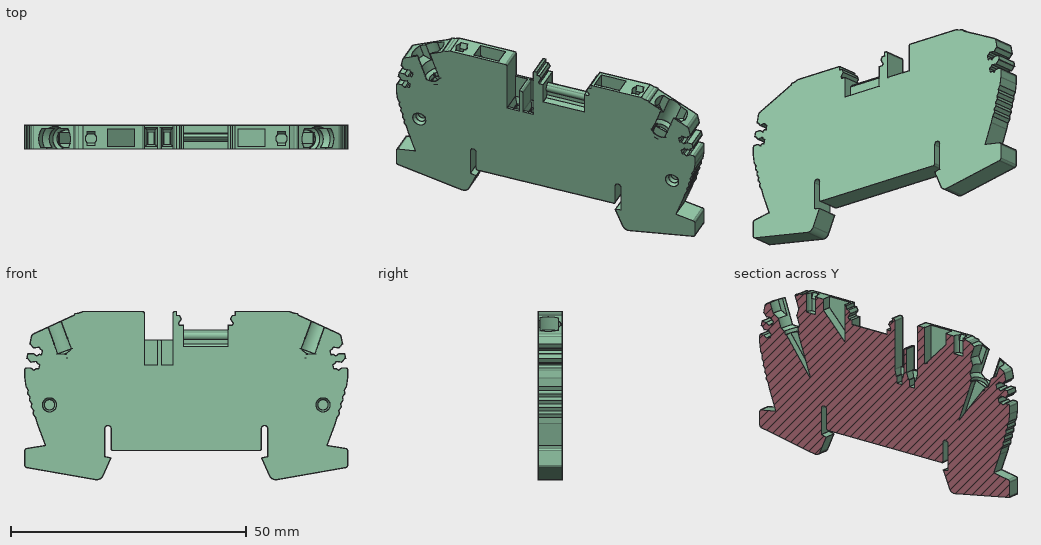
import cadquery as cq
import math


LENGTH = 68.5
THICKNESS = 5.1
HEIGHT = 35.7
HALF_LENGTH = LENGTH / 2
FRONT_Y = -THICKNESS / 2
BACK_Y = THICKNESS / 2

RAIL_SEAT_Z = 6.2
FOOT_TOP_Z = 6.6
FOOT_BOTTOM_Z = 2.65
FOOT_CORNER_RADIUS = 0.5
TOE = (-18.1, -0.18)
TOE_RADIUS = 1.5
HOOK_TIP = (-15.95, 4.65)
HOOK_ROOT_Z = 4.95
ANKLE = (-29.87, 7.3)
FLEX_SLOT_X = 16.6
FLEX_SLOT_WIDTH = 1.3
FLEX_SLOT_TOP_Z = 11.5
SEAT_CORNER_RADIUS = 0.4

RIB_COUNT = 4
RIB_START = (-34.0, 19.8)
RIB_FIRST_ROOT = (-33.5, 18.95)
RIB_PITCH_X = 0.385
RIB_PITCH_Z = 1.435
RIB_OUT = 0.12
RIB_TIP_DROP = 0.7
RIB_BULGE_OUT = 0.12
RIB_BULGE_DROP = 0.3
SHIN_BEND = (-31.6, 11.9)

NOTCH_COUNT = 2
NOTCH_STEP_X = -0.6
NOTCH_STEP_Z = -3.02
UPPER_NOTCH = [
    (-33.06, 28.75),
    (-32.37, 27.95),
    (-31.2, 28.1),
    (-30.95, 27.7),
    (-30.5, 27.4),
    (-30.74, 26.5),
    (-31.15, 26.65),
    (-31.7, 26.25),
    (-32.37, 26.77),
    (-33.6, 26.77),
]
NOTCH_CLEARANCE_X = -36.0
NOSE_CORNER = (-32.75, 30.8)
NOSE_RADIUS = 0.8
END_SHOULDER_Z = UPPER_NOTCH[-1][1] + (NOTCH_COUNT - 1) * NOTCH_STEP_Z
END_SHOULDER_RADIUS = 0.45
END_LOWER_Z = 21.6

SLOPE_TOP = (-23.75, 34.95)
LIP_CREST = (-23.67, 35.18)
LIP_OUTER = (-23.45, 35.3)
LIP_INNER = (-22.84, 35.35)
TOP_EDGE_X = -21.9

ENTRY_CENTER = (-27.8, 32.7)
ENTRY_TILT = 20.0
ENTRY_RADIUS = 2.65
ENTRY_Y = -0.4
ENTRY_DEPTH = 5.8
SEAT_RADIUS = 1.95
SEAT_TAPER_DEPTH = 0.7
SEAT_DEPTH = 1.5
CHANNEL_HALF_WIDTH = 1.63
CHANNEL_Y_MIN = -1.4
CHANNEL_Y_MAX = 0.95
CHANNEL_DEPTH = 10.0
ENTRY_ABOVE = 2.0
MOUTH_RADIUS = 3.7
MOUTH_DEPTH = 2.3
MOUTH_TAPER_DEPTH = 1.3
MOUTH_Y_MIN = -2.15
MOUTH_Y_MAX = 1.8

SOCKET_X = 29.0
SOCKET_Z = 15.9
SOCKET_DIAMETER = 3.0
SOCKET_BORE_DIAMETER = 2.2
SOCKET_TAPER_DEPTH = 0.8
SOCKET_DEPTH = 2.0

POCKET_X_MIN = 11.0
POCKET_X_MAX = 16.7
POCKET_Y_MIN = -1.95
POCKET_Y_MAX = 1.75
POCKET_OUTER_DEPTH = 2.5
POCKET_INNER_DEPTH = 8.2

DRIVER_X = 20.2
DRIVER_Y = -0.3
DRIVER_DIAMETER = 2.4
DRIVER_DEPTH = 4.0
DRIVER_FLAT_HALF = 0.93
DRIVER_SLIT_HALF = 1.48
DRIVER_SLIT_WIDTH = 1.6
DRIVER_SLIT_DEPTH = 1.2

BRIDGE_X_MIN = -8.85
BRIDGE_X_MAX = -2.85
BRIDGE_WALL_TOP_Z = 29.7
BRIDGE_FLOOR_Z = 24.4
BRIDGE_BACK_Y = 2.05
BRIDGE_WEB_X_MIN = -6.05
BRIDGE_WEB_X_MAX = -5.25
BRIDGE_WEB_RADIUS = 0.35
BRIDGE_CORNER_RADIUS = 0.4
FUNNEL_Y_MIN = -2.0
FUNNEL_DEPTH = 1.5
FUNNEL_BOTTOM_WIDTH = 1.7
FUNNEL_INSET_BACK = 0.5
FUNNEL_INSET_FRONT = 0.4
SHAFT_DEPTH = 1.5
SHAFT_STEP_BACK = 0.45
SHAFT_WIDTH = 1.3

MARKER_X = 4.16
MARKER_HALF = 4.73
MARKER_FLOOR_Z = 28.3
SNAP_TOP_HALF = 6.2
SNAP_PROFILE = [
    (SNAP_TOP_HALF, 34.86),
    (5.6, 34.86),
    (5.2, 34.1),
    (5.8, 33.2),
    (5.6, 32.8),
    (MARKER_HALF, 32.8),
]
BAR_PEAK = (0.0, 31.8)
BAR_SHOULDER = (-0.5, 31.3)
BAR_BULGE = (-0.9, 30.65)
BAR_NECK = (-0.55, 29.75)
BAR_BACK = (0.65, 31.2)
BAR_FOOT_TOP_Z = 28.85
BAR_FOOT_FRONT_Y = -0.9
BAR_FOOT_BACK_Y = 0.9


def box(x_range, y_range, z_range):
    """Axis-aligned block between the given limits."""
    sizes = [high - low for low, high in (x_range, y_range, z_range)]
    corner = (x_range[0], y_range[0], z_range[0])
    return cq.Workplane("XY").box(*sizes, centered=False).translate(corner)


def face_plane():
    """XZ plane lying on the back face; positive extrusion runs toward the front face."""
    return cq.Workplane("XZ", origin=(0, BACK_Y, 0))


def mirrored(shape):
    """The shape together with its mirror image in X."""
    return shape.union(shape.mirror("YZ"))


def round_corner(shape, x, z, radius):
    """Fillet the through-thickness edge standing at (x, z)."""
    reach = 0.05
    corner = cq.selectors.BoxSelector(
        (x - reach, FRONT_Y, z - reach), (x + reach, BACK_Y, z + reach)
    )
    return shape.edges("|Y").edges(corner).fillet(radius)


def left_half():
    """Plate left of X = 0, with ribs, notches and rail foot."""
    slot_left = -FLEX_SLOT_X - FLEX_SLOT_WIDTH / 2
    slot_right = slot_left + FLEX_SLOT_WIDTH
    slot_spring_z = FLEX_SLOT_TOP_Z - FLEX_SLOT_WIDTH / 2
    outline = (
        face_plane()
        .moveTo(0, HEIGHT)
        .lineTo(TOP_EDGE_X, HEIGHT)
        .lineTo(*LIP_INNER)
        .lineTo(*LIP_OUTER)
        .threePointArc(LIP_CREST, SLOPE_TOP)
        .lineTo(*NOSE_CORNER)
        .lineTo(-HALF_LENGTH, END_SHOULDER_Z)
        .lineTo(-HALF_LENGTH, END_LOWER_Z)
        .lineTo(*RIB_START)
        .lineTo(*RIB_FIRST_ROOT)
    )
    for rib in range(RIB_COUNT):
        x = RIB_FIRST_ROOT[0] + rib * RIB_PITCH_X
        z = RIB_FIRST_ROOT[1] - rib * RIB_PITCH_Z
        outline = outline.threePointArc(
            (x - RIB_BULGE_OUT, z - RIB_BULGE_DROP), (x - RIB_OUT, z - RIB_TIP_DROP)
        )
        outline = outline.lineTo(x + RIB_PITCH_X, z - RIB_PITCH_Z)
    outline = (
        outline.lineTo(*SHIN_BEND)
        .lineTo(*ANKLE)
        .lineTo(-HALF_LENGTH, FOOT_TOP_Z)
        .lineTo(-HALF_LENGTH, FOOT_BOTTOM_Z)
        .lineTo(*TOE)
        .lineTo(*HOOK_TIP)
        .lineTo(slot_left, HOOK_ROOT_Z)
        .lineTo(slot_left, slot_spring_z)
        .threePointArc((-FLEX_SLOT_X, FLEX_SLOT_TOP_Z), (slot_right, slot_spring_z))
        .lineTo(slot_right, RAIL_SEAT_Z)
        .lineTo(0, RAIL_SEAT_Z)
        .close()
    )
    half = outline.extrude(THICKNESS)
    half = round_corner(half, *TOE, TOE_RADIUS)
    half = round_corner(half, -HALF_LENGTH, FOOT_TOP_Z, FOOT_CORNER_RADIUS)
    half = round_corner(half, -HALF_LENGTH, FOOT_BOTTOM_Z, FOOT_CORNER_RADIUS)
    half = round_corner(half, slot_right, RAIL_SEAT_Z, SEAT_CORNER_RADIUS)
    half = round_corner(half, *NOSE_CORNER, NOSE_RADIUS)
    half = half.cut(barbed_notches())
    return round_corner(half, -HALF_LENGTH, END_SHOULDER_Z, END_SHOULDER_RADIUS)


def barbed_notches():
    """Barbed notches open toward the left end."""
    first, last = UPPER_NOTCH[0], UPPER_NOTCH[-1]
    mouth = [(NOTCH_CLEARANCE_X, last[1]), (NOTCH_CLEARANCE_X, first[1])]
    notch = face_plane().polyline(UPPER_NOTCH + mouth).close().extrude(THICKNESS)
    notches = notch
    for step in range(1, NOTCH_COUNT):
        notches = notches.union(notch.translate((step * NOTCH_STEP_X, 0, step * NOTCH_STEP_Z)))
    return notches


def wire_entry():
    """Left wire hole with a wider mouth flattened in Y and a narrower seat at its bottom."""
    x, z = ENTRY_CENTER
    tilt = math.radians(ENTRY_TILT)
    outward = (-math.sin(tilt), 0, math.cos(tilt))
    plane = cq.Plane(origin=(x, ENTRY_Y, z), xDir=(0, 1, 0), normal=outward)

    def bore(radius, top, bottom):
        return cq.Workplane(plane).workplane(offset=bottom).circle(radius).extrude(top - bottom)

    def taper(top_radius, bottom_radius, top, depth):
        base = plane.toWorldCoords((0, 0, top - depth))
        direction = cq.Vector(*outward)
        return cq.Workplane(cq.Solid.makeCone(bottom_radius, top_radius, depth, base, direction))

    hole = bore(ENTRY_RADIUS, ENTRY_ABOVE, -ENTRY_DEPTH)
    seat = bore(SEAT_RADIUS, -ENTRY_DEPTH, -ENTRY_DEPTH - SEAT_DEPTH)
    seat = seat.union(taper(ENTRY_RADIUS, SEAT_RADIUS, -ENTRY_DEPTH, SEAT_TAPER_DEPTH))
    mouth = bore(MOUTH_RADIUS, ENTRY_ABOVE, -MOUTH_DEPTH)
    mouth = mouth.union(taper(MOUTH_RADIUS, ENTRY_RADIUS, -MOUTH_DEPTH, MOUTH_TAPER_DEPTH))
    slab = box((-HALF_LENGTH, 0), (MOUTH_Y_MIN, MOUTH_Y_MAX), (0, HEIGHT + ENTRY_ABOVE))
    entry = hole.union(mouth.intersect(slab))
    return entry.union(seat).union(conductor_channel())


def conductor_channel():
    """Flat-sided channel at the bottom of the left wire hole, falling toward the middle."""
    x, z = ENTRY_CENTER
    tilt = math.radians(ENTRY_TILT)
    across = (math.cos(tilt), 0, math.sin(tilt))
    plane = cq.Plane(origin=(x, CHANNEL_Y_MAX, z), xDir=across, normal=(0, -1, 0))
    top = -ENTRY_DEPTH
    start = top - SEAT_DEPTH
    profile = [
        (-CHANNEL_HALF_WIDTH, top),
        (CHANNEL_HALF_WIDTH, top),
        (CHANNEL_HALF_WIDTH, start - CHANNEL_DEPTH),
        (-CHANNEL_HALF_WIDTH, start),
    ]
    return cq.Workplane(plane).polyline(profile).close().extrude(CHANNEL_Y_MAX - CHANNEL_Y_MIN)


def pin_socket():
    """Blind tapered socket in the front face."""
    radius = SOCKET_DIAMETER / 2
    bore_radius = SOCKET_BORE_DIAMETER / 2
    profile = [
        (0, 0),
        (radius, 0),
        (bore_radius, SOCKET_TAPER_DEPTH),
        (bore_radius, SOCKET_DEPTH),
        (0, SOCKET_DEPTH),
    ]
    socket = cq.Workplane("XY").polyline(profile).close().revolve(360, (0, 0, 0), (0, 1, 0))
    return socket.translate((-SOCKET_X, FRONT_Y, SOCKET_Z))


def test_pocket():
    """Rectangular pocket whose floor falls toward the middle of the part."""
    profile = [
        (-POCKET_X_MAX, HEIGHT),
        (-POCKET_X_MIN, HEIGHT),
        (-POCKET_X_MIN, HEIGHT - POCKET_INNER_DEPTH),
        (-POCKET_X_MAX, HEIGHT - POCKET_OUTER_DEPTH),
    ]
    plane = cq.Workplane("XZ", origin=(0, POCKET_Y_MAX, 0))
    return plane.polyline(profile).close().extrude(POCKET_Y_MAX - POCKET_Y_MIN)


def driver_hole():
    """Round hole with two flats, widened at the top into a slit with sloping ends."""
    center = (-DRIVER_X, DRIVER_Y, HEIGHT)
    bore = cq.Workplane("XY", origin=center).circle(DRIVER_DIAMETER / 2).extrude(-DRIVER_DEPTH)
    flats = box(
        (-DRIVER_X - DRIVER_DIAMETER, -DRIVER_X + DRIVER_DIAMETER),
        (DRIVER_Y - DRIVER_FLAT_HALF, DRIVER_Y + DRIVER_FLAT_HALF),
        (HEIGHT - DRIVER_DEPTH, HEIGHT),
    )
    slit_profile = [
        (-DRIVER_SLIT_HALF, 0),
        (DRIVER_SLIT_HALF, 0),
        (DRIVER_FLAT_HALF, -DRIVER_SLIT_DEPTH),
        (-DRIVER_FLAT_HALF, -DRIVER_SLIT_DEPTH),
    ]
    slit = (
        cq.Workplane("YZ", origin=center)
        .polyline(slit_profile)
        .close()
        .extrude(DRIVER_SLIT_WIDTH / 2, both=True)
    )
    return bore.intersect(flats).union(slit)


def bridge_shaft(x_min, x_max):
    """Open-fronted recess with a funnel and a straight shaft below its floor."""
    recess = box(
        (x_min, x_max), (FRONT_Y, BRIDGE_BACK_Y), (BRIDGE_FLOOR_Z, BRIDGE_WALL_TOP_Z)
    )
    width = x_max - x_min
    length = BRIDGE_BACK_Y - FUNNEL_Y_MIN
    funnel_bottom_length = length - FUNNEL_INSET_BACK - FUNNEL_INSET_FRONT
    bottom_shift = (FUNNEL_INSET_FRONT - FUNNEL_INSET_BACK) / 2
    x_mid = (x_min + x_max) / 2
    y_mid = (FUNNEL_Y_MIN + BRIDGE_BACK_Y) / 2
    funnel = (
        cq.Workplane("XY", origin=(x_mid, y_mid, BRIDGE_FLOOR_Z))
        .rect(width, length)
        .workplane(offset=-FUNNEL_DEPTH)
        .center(0, bottom_shift)
        .rect(FUNNEL_BOTTOM_WIDTH, funnel_bottom_length)
        .loft(ruled=True)
    )
    funnel_z = BRIDGE_FLOOR_Z - FUNNEL_DEPTH
    shaft = box(
        (x_mid - SHAFT_WIDTH / 2, x_mid + SHAFT_WIDTH / 2),
        (FUNNEL_Y_MIN + FUNNEL_INSET_FRONT, BRIDGE_BACK_Y - FUNNEL_INSET_BACK - SHAFT_STEP_BACK),
        (funnel_z - SHAFT_DEPTH, funnel_z),
    )
    return recess.union(funnel).union(shaft)


def cut_bridge_opening(body):
    """Cut the gap between the left block and the clip wall, leaving a web between two shafts."""
    gap = box((BRIDGE_X_MIN, BRIDGE_X_MAX), (FRONT_Y, BACK_Y), (BRIDGE_WALL_TOP_Z, HEIGHT))
    body = body.cut(gap)
    body = body.cut(bridge_shaft(BRIDGE_X_MIN, BRIDGE_WEB_X_MIN))
    body = body.cut(bridge_shaft(BRIDGE_WEB_X_MAX, BRIDGE_X_MAX))
    body = round_corner(body, BRIDGE_X_MIN, HEIGHT, BRIDGE_CORNER_RADIUS)
    body = round_corner(body, BRIDGE_X_MAX, HEIGHT, BRIDGE_CORNER_RADIUS)
    return round_corner(body, BRIDGE_WEB_X_MAX, BRIDGE_WALL_TOP_Z, BRIDGE_WEB_RADIUS)


def marker_opening():
    """Opening for a marker strip, symmetric about X = MARKER_X, with barbed upper edges."""
    right = [(SNAP_TOP_HALF, HEIGHT)] + SNAP_PROFILE + [(MARKER_HALF, MARKER_FLOOR_Z)]
    left = [(-x, z) for x, z in reversed(right)]
    opening = face_plane().polyline(right + left).close().extrude(THICKNESS)
    return opening.translate((MARKER_X, 0, 0))


def cross_bar():
    """Bar with a bulging front and a ridged top across the floor of the marker opening."""
    bar = (
        cq.Workplane("YZ", origin=(MARKER_X, 0, 0))
        .moveTo(BAR_FOOT_FRONT_Y, MARKER_FLOOR_Z)
        .lineTo(BAR_NECK[0], BAR_FOOT_TOP_Z)
        .lineTo(*BAR_NECK)
        .threePointArc(BAR_BULGE, BAR_SHOULDER)
        .lineTo(*BAR_PEAK)
        .lineTo(*BAR_BACK)
        .lineTo(BAR_BACK[0], BAR_FOOT_TOP_Z)
        .lineTo(BAR_FOOT_BACK_Y, MARKER_FLOOR_Z)
        .close()
    )
    return bar.extrude(MARKER_HALF, both=True)


body = mirrored(left_half())
for cutter in (wire_entry(), pin_socket(), test_pocket(), driver_hole()):
    body = body.cut(cutter).cut(cutter.mirror("YZ"))
body = cut_bridge_opening(body)
body = body.cut(marker_opening())
result = body.union(cross_bar())